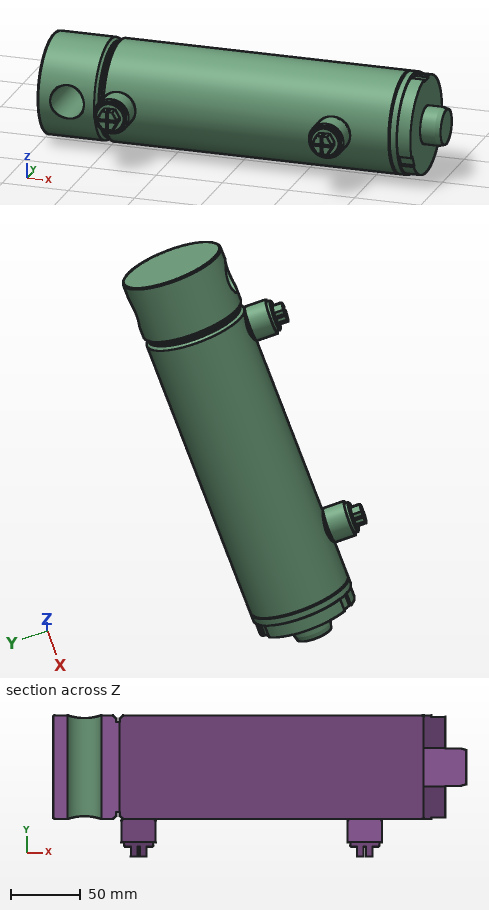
import cadquery as cq
import math

LENGTH = 297.0
DEPTH = 102.0
BODY_DIA = 75.0
BODY_R = BODY_DIA / 2
EDGE_CHAMFER = 1.0

CAP_END = 45.5
NECK_R = 32.7
PIN_HOLE_X = 22.5
PIN_HOLE_DIA = 25.5
WELD_BEVEL = 2.5

TUBE_START = 47.8
TUBE_END = 266.5

FLANGE_END = 271.8
GLAND_END = 282.0
HEAD_R = 36.5
SLOT_COUNT = 3
SLOT_WIDTH = 9.8
SLOT_DEPTH = 2.0

ROD_DIA = 28.2
ROD_R = ROD_DIA / 2
ROD_TIP_LENGTH = 4.0
ROD_TIP_R = 13.0

PORT_XS = (61.5, 224.0)
PORT_R = 13.0
PORT_FOOT = 36.5
PORT_FOOT_BEVEL = 1.8
PORT_END = 54.0

COLLAR_R = 11.3
COLLAR_END = 57.3
COLLAR_CHAMFER = 1.0
PLUG_END = DEPTH - BODY_R
HEX_FLATS = 13.7
HEX_SIDES = 6
PRONG_GAP = 1.5


def disc_along_x(start, end, radius):
    """Round bar on the X axis."""
    return cq.Workplane("YZ", origin=(start, 0, 0)).circle(radius).extrude(end - start)


def out_of_port(x, distance):
    """Workplane across a port axis, facing -Y, at a distance from the tube axis."""
    return cq.Workplane("XZ", origin=(x, -distance, 0))


def make_cap():
    """End cap with a pin hole along Y and a neck that meets the tube."""
    cap = disc_along_x(0, CAP_END, BODY_R)
    cap = cap.faces("<X").chamfer(EDGE_CHAMFER)
    cap = cap.faces(">X").chamfer(WELD_BEVEL)
    cap = cap.union(disc_along_x(CAP_END, TUBE_START, NECK_R))
    pin_hole = out_of_port(PIN_HOLE_X, 0).circle(PIN_HOLE_DIA / 2).extrude(BODY_R, both=True)
    return cap.cut(pin_hole)


def make_tube():
    tube = disc_along_x(TUBE_START, TUBE_END, BODY_R)
    tube = tube.faces("<X").chamfer(WELD_BEVEL)
    return tube.faces(">X").chamfer(EDGE_CHAMFER)


def make_gland():
    gland = disc_along_x(TUBE_END, FLANGE_END, BODY_R)
    gland = gland.union(disc_along_x(FLANGE_END, GLAND_END, HEAD_R))
    slot = cq.Workplane("YZ", origin=(FLANGE_END, 0, HEAD_R)).rect(SLOT_WIDTH, 2 * SLOT_DEPTH)
    slot = slot.extrude(GLAND_END - FLANGE_END)
    for i in range(SLOT_COUNT):
        gland = gland.cut(slot.rotate((0, 0, 0), (1, 0, 0), i * 360 / SLOT_COUNT))
    return gland.cut(disc_along_x(TUBE_END, GLAND_END, ROD_R))


def make_rod():
    rod = disc_along_x(TUBE_END, LENGTH, ROD_R)
    return rod.faces(">X").chamfer(ROD_TIP_LENGTH, ROD_R - ROD_TIP_R)


def make_port(x):
    """Round boss with a bevelled foot, on a neck that fits the round of the tube."""
    boss = out_of_port(x, PORT_FOOT).circle(PORT_R).extrude(PORT_END - PORT_FOOT)
    boss = boss.faces(">Y").chamfer(PORT_FOOT_BEVEL)
    neck = out_of_port(x, 0).circle(PORT_R - PORT_FOOT_BEVEL).extrude(PORT_FOOT)
    return boss.union(neck).cut(disc_along_x(TUBE_START, TUBE_END, BODY_R))


def make_plug(x):
    """Chamfered collar with a hexagon that a cross slot splits into four prongs."""
    height = PLUG_END - COLLAR_END
    collar = out_of_port(x, PORT_END).circle(COLLAR_R).extrude(COLLAR_END - PORT_END)
    collar = collar.faces("<Y").chamfer(COLLAR_CHAMFER)
    base = out_of_port(x, COLLAR_END)
    corner_dia = HEX_FLATS / math.cos(math.pi / HEX_SIDES)
    prongs = base.polygon(HEX_SIDES, corner_dia).extrude(height)
    slot_length = 2 * HEX_FLATS
    prongs = prongs.cut(base.rect(PRONG_GAP, slot_length).extrude(height))
    prongs = prongs.cut(base.rect(slot_length, PRONG_GAP).extrude(height))
    return collar.union(prongs)


bodies = [make_cap(), make_tube(), make_gland(), make_rod()]
for port_x in PORT_XS:
    bodies += [make_port(port_x), make_plug(port_x)]

result = cq.Compound.makeCompound([body.val() for body in bodies])